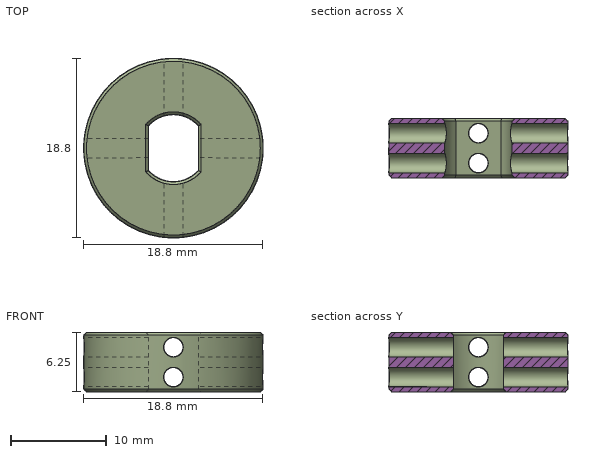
import cadquery as cq

outer_diameter = 18.75
height = 6.25
chamfer = 0.3

bore_diameter = 7.0
flat_width = 5.2

cross_hole_diameter = 2.0
cross_hole_spacing = height / 2


def make_body():
    """Round collar with both rims chamfered, standing on Z = 0."""
    disc = cq.Workplane("XY").circle(outer_diameter / 2).extrude(height)
    return disc.faces("<Z or >Z").edges().chamfer(chamfer)


def make_bore():
    """Double-D bore through the full height."""
    cylinder = cq.Workplane("XY").circle(bore_diameter / 2).extrude(height)
    slab = cq.Workplane("XY").rect(flat_width, outer_diameter).extrude(height)
    return cylinder.intersect(slab)


def make_cross_holes():
    """Through holes along X and Y, placed evenly about mid-height."""
    holes = cq.Workplane("XY")
    for plane in ("XZ", "YZ"):
        for side in (-1, 1):
            level = height / 2 + side * cross_hole_spacing / 2
            hole = (
                cq.Workplane(plane)
                .center(0, level)
                .circle(cross_hole_diameter / 2)
                .extrude(outer_diameter, both=True)
            )
            holes = holes.add(hole)
    return holes.combine()


def chamfer_bore(collar):
    """Break the bore edges on the bottom and top faces."""
    for end_face in collar.faces("<Z or >Z").vals():
        rim = end_face.innerWires()[0]
        collar = collar.newObject(rim.Edges()).chamfer(chamfer)
    return collar


collar = chamfer_bore(make_body().cut(make_bore()))
result = collar.cut(make_cross_holes())